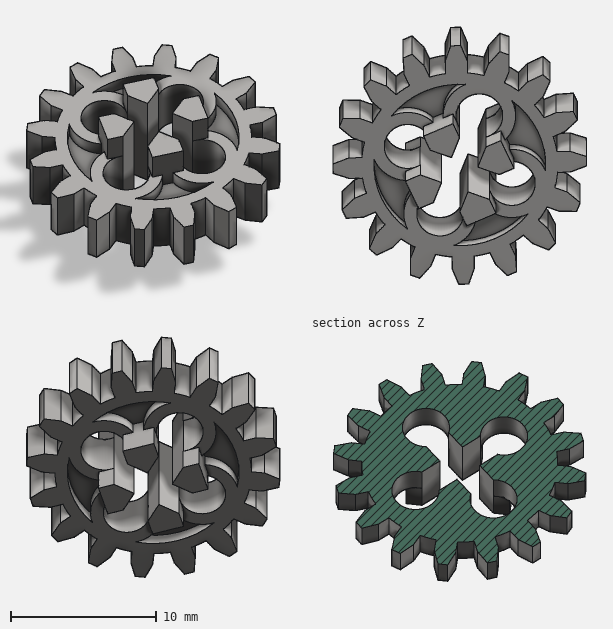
import cadquery as cq

tooth_count = 16
tip_radius = 8.75
root_radius = 6.77
gear_width = 3.75

tooth_base_width = 1.52
tooth_tip_width = 0.69
tooth_flank_length = 1.12
tooth_root_overlap = 0.5

hole_offset = 3.84
hole_radius = 1.61
slot_width = 1.94

recess_radius = 5.92
collar_radius = 2.5
recess_depth = 1.0

post_height = 7.72
post_side = 1.575
post_outer_sum = 5.1


def centered_prism(outline, height):
    """Extrude an outline symmetrically about the gear's mid-plane."""
    return outline.extrude(height / 2, both=True)


def make_tooth():
    """One tooth pointing along +X."""
    half_base = tooth_base_width / 2
    half_tip = tooth_tip_width / 2
    shoulder_radius = tip_radius - tooth_flank_length
    inner_end = root_radius - tooth_root_overlap
    outline = cq.Workplane("XY").polyline([
        (inner_end, -half_base),
        (shoulder_radius, -half_base),
        (tip_radius, -half_tip),
        (tip_radius, half_tip),
        (shoulder_radius, half_base),
        (inner_end, half_base),
    ]).close()
    return centered_prism(outline, gear_width)


def make_gear_blank():
    """Root disc with the ring of teeth."""
    blank = centered_prism(cq.Workplane("XY").circle(root_radius), gear_width)
    tooth = make_tooth()
    for tooth_index in range(tooth_count):
        angle = tooth_index * 360 / tooth_count
        blank = blank.union(tooth.rotate((0, 0, 0), (0, 0, 1), angle))
    return blank


def hole_cylinders(radius, height):
    """Four upright cylinders on the axle hole centres."""
    outline = cq.Workplane("XY").polarArray(hole_offset, 0, 360, 4).circle(radius)
    return centered_prism(outline, height)


def make_cross_slots():
    """Cutter for the two crossed slots, reaching to the hole centres."""
    arm_length = 2 * hole_offset
    along_x = centered_prism(cq.Workplane("XY").rect(arm_length, slot_width), gear_width)
    along_y = centered_prism(cq.Workplane("XY").rect(slot_width, arm_length), gear_width)
    return along_x.union(along_y)


def make_recesses():
    """Cutter for the three-cornered recesses in the top and bottom faces."""
    disc = centered_prism(cq.Workplane("XY").circle(recess_radius), gear_width)
    web = centered_prism(cq.Workplane("XY").circle(recess_radius), gear_width - 2 * recess_depth)
    collars = hole_cylinders(collar_radius, gear_width)
    return disc.cut(web).cut(collars)


def make_post():
    """Five-sided post in the +X +Y corner."""
    inner = slot_width / 2
    shoulder = inner + post_side
    side_run = (post_outer_sum - shoulder - inner) / 2
    outline = cq.Workplane("XY").polyline([
        (inner, inner),
        (shoulder, inner),
        (shoulder + side_run, inner + side_run),
        (inner + side_run, shoulder + side_run),
        (inner, shoulder),
    ]).close()
    return centered_prism(outline, post_height)


result = make_gear_blank().cut(make_recesses()).cut(make_cross_slots())
post = make_post()
for quarter in range(4):
    result = result.union(post.rotate((0, 0, 0), (0, 0, 1), quarter * 90))
result = result.cut(hole_cylinders(hole_radius, gear_width))